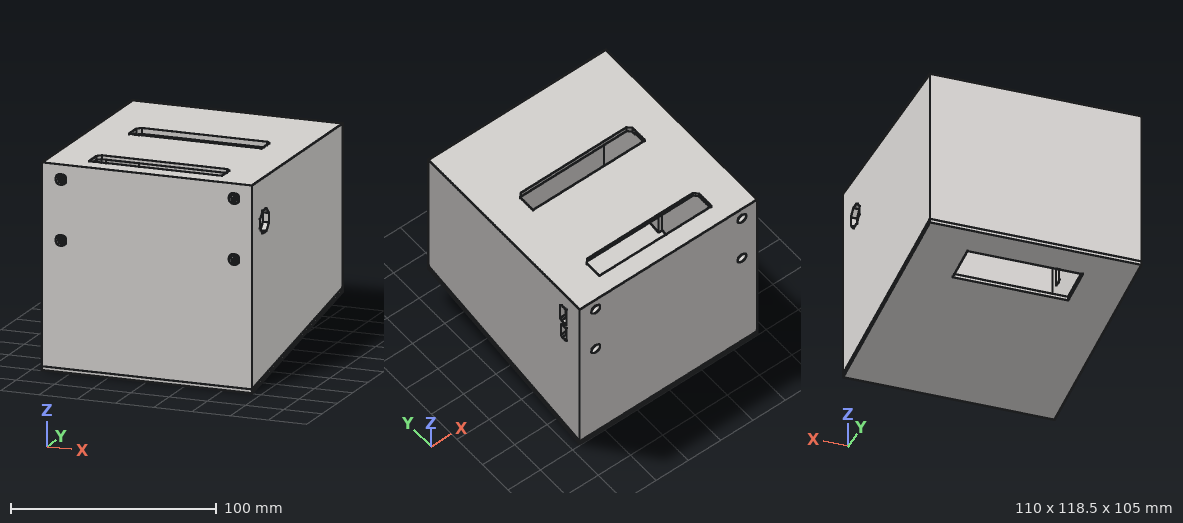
import cadquery as cq
import math

width = 110.0
depth = 118.51
front_height = 103.0
floor_rise = 20.0
cover_thickness = 2.0

slope = floor_rise / depth
cover_drop = cover_thickness * math.hypot(1, slope)

thin_wall = 3.2
thick_wall = 5.5
front_wall = 5.5
thin_ceiling = 2.0
thick_ceiling = 3.0
thin_length = 70.3

inner_offset = 0.25

slot_width = 69.5
slot_depth = 12.0
slot_chamfer = 2.0
front_slot_y = 10.5
slot_count = 2
slot_pitch = 52.0

window_y = front_slot_y
window_chamfer = 1.0
windows = [(-10.7, -22.6, 4.8), (-25.3, -35.0, 4.2)]

port_size = 11.5
port_y = 16.5
port_z = -22.2
port_sides = 8

screw_x = 45.3
screw_rows = [-7.6, -38.4]
screw_diameter = 3.0
head_diameter = 5.4
head_depth = 3.0

opening_width = 60.0
opening_length = 20.0
opening_y = 84.0


def underside(y):
    """Height of the sloping joint between housing and cover."""
    return -front_height + slope * y


def sloped_block(block_width, y_front, y_back, z_top):
    """Block with a flat top whose bottom follows the sloping joint."""
    outline = [
        (y_front, z_top),
        (y_back, z_top),
        (y_back, underside(y_back)),
        (y_front, underside(y_front)),
    ]
    return cq.Workplane("YZ").polyline(outline).close().extrude(block_width / 2, both=True)


def slot_cutter(y_front):
    """Top slot with its two rear corners chamfered."""
    return (
        cq.Workplane("XY")
        .box(slot_width, slot_depth, 2 * thick_ceiling, centered=(True, False, True))
        .edges("|Z and >Y")
        .chamfer(slot_chamfer)
        .translate((inner_offset, y_front, 0))
    )


def window_cutter(top, bottom, length):
    """Left wall window with its two rear corners chamfered."""
    return (
        cq.Workplane("XY")
        .box(2 * thin_wall, length, top - bottom, centered=(True, False, False))
        .edges("|X and >Y")
        .chamfer(window_chamfer)
        .translate((-width / 2, window_y, bottom))
    )


def port_cutter():
    """Octagonal prism through the right wall, flats facing front, back, up and down."""
    across_corners = port_size / math.cos(math.pi / port_sides)
    return (
        cq.Workplane("YZ")
        .polygon(port_sides, across_corners)
        .extrude(2 * thick_wall)
        .rotate((0, 0, 0), (1, 0, 0), 180 / port_sides)
        .translate((width / 2 - thick_wall, port_y, port_z))
    )


def front_bores(points, diameter, bore_depth):
    """Round bores running inward from the front face."""
    return cq.Workplane("XZ").pushPoints(points).circle(diameter / 2).extrude(-bore_depth)


def make_housing():
    """Box open at its sloping underside."""
    front_cavity = sloped_block(width - 2 * thin_wall, front_wall, thin_length, -thin_ceiling)
    rear_cavity = sloped_block(width - 2 * thick_wall, thin_length, depth - thick_wall, -thick_ceiling)
    body = sloped_block(width, 0, depth, 0).cut(front_cavity).cut(rear_cavity)

    for index in range(slot_count):
        body = body.cut(slot_cutter(front_slot_y + index * slot_pitch))

    for top, bottom, length in windows:
        body = body.cut(window_cutter(top, bottom, length))

    body = body.cut(port_cutter())

    screw_points = [(inner_offset + side * screw_x, z) for side in (-1, 1) for z in screw_rows]
    return body.cut(front_bores(screw_points, screw_diameter, front_wall)).cut(
        front_bores(screw_points, head_diameter, head_depth)
    )


def make_cover():
    """Sloping bottom plate with a rectangular opening near the back."""
    outline = [
        (0, underside(0)),
        (depth, underside(depth)),
        (depth, underside(depth) - cover_drop),
        (0, underside(0) - cover_drop),
    ]
    plate = cq.Workplane("YZ").polyline(outline).close().extrude(width / 2, both=True)
    opening = (
        cq.Workplane("XY")
        .box(opening_width, opening_length, 2 * front_height, centered=(True, False, True))
        .translate((0, opening_y, 0))
    )
    return plate.cut(opening)


housing = make_housing()
cover = make_cover()

result = cq.Compound.makeCompound([housing.val(), cover.val()])